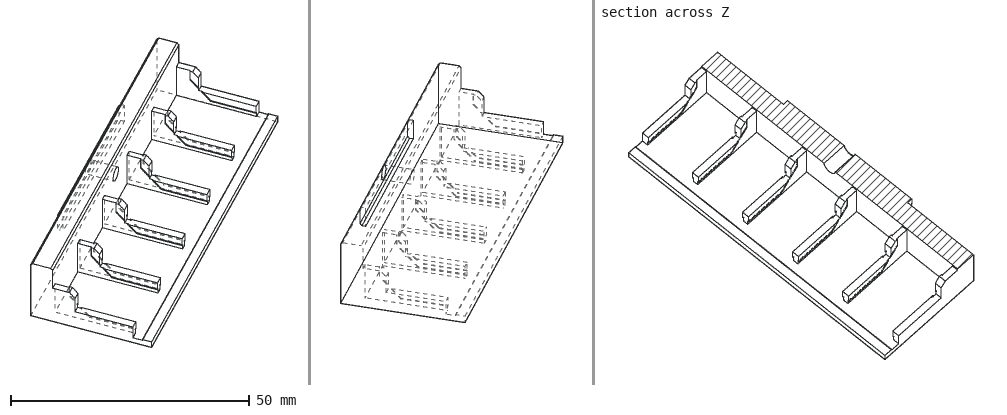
import cadquery as cq

length = 73.85
body_depth = 27.2
wall_height = 15.15

wall_thickness = 4.95
edge_chamfer = 0.45
bar_length = 35.9
bar_height = 4.6
bar_depth = 1.25
bar_center_z = 10.0
hole_diameter = 3.1

floor_height = 1.4
lip_height = 1.6
lip_width = 2.1

bay_count = 5
rib_width = 1.7
rib_front_x = 23.0
rib_low_height = 4.5
rib_step_height = 9.6
rib_step_x = 10.0
rib_step_chamfer = 1.25
bay_pitch = (length - rib_width) / bay_count

relief_depth = 0.2
relief_top_x = 8.05
relief_floor_z = 2.5
relief_corner_x = 10.7


def extrude_along_y(profile, width, center_y=0.0):
    """Extrude an XZ profile by width, centred on center_y."""
    return profile.extrude(width / 2, both=True).translate((0, center_y, 0))


def make_base():
    """Floor with the raised lip along its front edge."""
    floor = cq.Workplane("XY").box(body_depth, length, floor_height, centered=(False, True, False))
    lip = (
        cq.Workplane("XY")
        .box(lip_width, length, lip_height, centered=(False, True, False))
        .translate((body_depth - lip_width, 0, 0))
    )
    return floor.union(lip)


def make_wall():
    """Back wall with both top edges chamfered."""
    wall = cq.Workplane("XY").box(wall_thickness, length, wall_height, centered=(False, True, False))
    return wall.faces(">Z").edges("|Y").chamfer(edge_chamfer)


def make_bar():
    """Locating bar on the back of the wall, chamfered along its two outer edges."""
    bar = cq.Workplane("XY").box(bar_depth, bar_length, bar_height)
    return bar.faces("<X").edges("|Y").chamfer(edge_chamfer).translate((-bar_depth / 2, 0, bar_center_z))


def make_rib(center_y):
    """Stepped rib running forward from the wall."""
    profile = (
        cq.Workplane("XZ")
        .moveTo(0, 0)
        .lineTo(0, rib_step_height)
        .lineTo(rib_step_x - rib_step_chamfer, rib_step_height)
        .lineTo(rib_step_x, rib_step_height - rib_step_chamfer)
        .lineTo(rib_step_x, rib_low_height)
        .lineTo(rib_front_x, rib_low_height)
        .lineTo(rib_front_x, 0)
        .close()
    )
    return extrude_along_y(profile, rib_width, center_y)


def make_relief(center_y):
    """Cutter for one bay: an L along the wall and the floor with a 45 degree inner corner."""
    slope_start_z = rib_low_height + relief_corner_x - relief_top_x
    slope_end_x = relief_corner_x + rib_low_height - relief_floor_z
    profile = (
        cq.Workplane("XZ")
        .moveTo(wall_thickness, floor_height)
        .lineTo(wall_thickness, rib_step_height)
        .lineTo(relief_top_x, rib_step_height)
        .lineTo(relief_top_x, slope_start_z)
        .lineTo(slope_end_x, relief_floor_z)
        .lineTo(rib_front_x, relief_floor_z)
        .lineTo(rib_front_x, floor_height)
        .close()
    )
    bay_width = bay_pitch - rib_width
    return extrude_along_y(profile, bay_width + 2 * relief_depth, center_y)


result = make_base().union(make_wall()).union(make_bar())

for rib_index in range(bay_count + 1):
    result = result.union(make_rib((rib_index - bay_count / 2) * bay_pitch))

for bay_index in range(bay_count):
    result = result.cut(make_relief((bay_index - (bay_count - 1) / 2) * bay_pitch))

screw_hole = (
    cq.Workplane("YZ")
    .center(0, bar_center_z)
    .circle(hole_diameter / 2)
    .extrude(bar_depth + wall_thickness)
    .translate((-bar_depth, 0, 0))
)
result = result.cut(screw_hole)